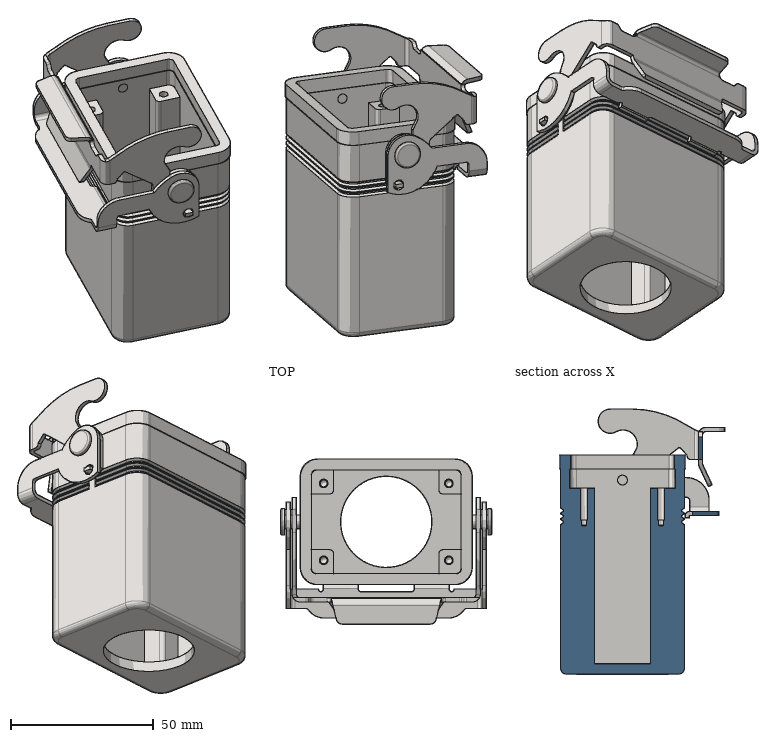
import cadquery as cq
import math

HOUSING_X = 60.2
HOUSING_Y = 43.5
CORNER_RADIUS = 6.0
RIM_TOP = 76.9
RIM_HEIGHT = 5.0
RIM_X = 60.4
RIM_Y = 44.1
BOTTOM_FILLET = 2.0

MOUTH_X = 52.45
MOUTH_Y = 36.3
MOUTH_CORNER_RADIUS = 1.9
CHAMBER_CORNER_RADIUS = 2.2
CAVITY_RELIEF = 0.3
CHAMBER_X = MOUTH_X + 2 * CAVITY_RELIEF
CHAMBER_Y = MOUTH_Y + 2 * CAVITY_RELIEF
FLOOR_THICKNESS = 3.7
CABLE_HOLE_DIAMETER = 31.9

GROOVE_TOP = 58.2
GROOVE_COUNT = 3
GROOVE_MOUTH = 1.7
GROOVE_LAND = 0.33
GROOVE_PITCH = GROOVE_MOUTH + GROOVE_LAND
GROOVE_ROOT = 0.5
GROOVE_DEPTH = 0.9
GROOVE_BRIDGE_WIDTH = 2.8

BOSS_TOP = 65.3
BOSS_INNER_X = 18.4
BOSS_INNER_Y = 9.8
BOSS_WALL_OVERLAP = 0.9
BOSS_EDGE_RADIUS = 1.5
SCREW_X = 21.95
SCREW_Y = 13.5
SCREW_DIAMETER = 3.0
SCREW_DEPTH = 11.2
DRILL_DIAMETER = 2.4
DRILL_DEPTH = 13.0
DRILL_POINT_HEIGHT = 0.7

SHEET = 1.5

PIVOT_Z = 68.1
PIN_STEM_DIAMETER = 3.4
PIN_DIAMETER = 4.9
PIN_HEAD_DIAMETER = 9.4
PIN_HEAD_THICKNESS = 1.4
PIN_HEAD_FILLET = 0.65
LATCH_HALF_WIDTH = 37.0

HOOK_OUTER_X = 33.0
HOOK_TOP = 93.0
HOOK_BEND_RADIUS = 2.8
HOOK_FRONT_Y = -28.1
HOOK_WEB_TOP = 85.2
HOOK_WEB_BOTTOM = 75.2
NOSE_Y = 4.3
NOSE_RADIUS = 4.3
THROAT_Y = -0.2
THROAT_Z = 80.6
THROAT_END_ANGLE = 195
HOOK_CREST_START = (-3.8, HOOK_TOP)
HOOK_CREST_MIDDLE = (-13.5, 91.5)
HOOK_CREST_END = (-22.4, 87.4)
HOOK_SHOULDER = (-25.4, 85.7)
HOOK_CHIN_FRONT = (-23.8, HOOK_WEB_BOTTOM)
HOOK_CHIN_MIDDLE = (-23.0, 75.7)
HOOK_CHIN_BACK = (-22.6, 76.8)
HOOK_NOTCH_PEAK = (-20.0, 79.6)
HOOK_HEEL_TOP = (-10.1, 71.9)
HOOK_HEEL_MIDDLE = (-9.6, 71.2)
HOOK_HEEL_SIDE_Z = 70.4
HOOK_NOTCH_FILLET = 0.5
HOOK_NECK_Y = -3.2
HOOK_NECK_Z = 75.9
HOOK_HUB_RADIUS = 6.5
HOOK_SKIRT_Y = 1.1
HOOK_SKIRT_Z = 66.3
HOOK_SKIRT_RADIUS = 10.5

GRIP_TOP = 86.6
GRIP_FRONT_Y = -35.9
GRIP_BEND_RADIUS = 2.7
GRIP_ROOT_HALF = 19.3
GRIP_TIP_HALF = 17.1
GRIP_CORNER_RADIUS = 2.2

WEB_NOTCH_Z = 83.2
WEB_NOTCH_OUTER = 27.6
WEB_NOTCH_INNER = 19.3
WEB_NOTCH_SLOPE = 1.6
WEB_NOTCH_OUTER_FILLET = 0.9
WEB_NOTCH_INNER_FILLET = 1.5

APRON_ANGLE = 25.0
APRON_BEND_Z = 73.7
APRON_LENGTH = 8.0
APRON_BEND_RADIUS = 1.9
APRON_TOP_HALF = 20.6
APRON_BOTTOM_HALF = 17.7
APRON_CORNER_RADIUS = 1.7

BAIL_OUTER_X = 35.1
BAIL_BEND_RADIUS = 3.1
BAIL_BOTTOM = 55.6
BAIL_HUB_RADIUS = 7.0
BAIL_HUB_END_ANGLE = 118
BAIL_SHOULDER_MIDDLE = (-6.3, 72.4)
BAIL_SHOULDER_Y = -9.7
BAIL_FOOT_Y = 1.1
BAIL_FOOT_Z = 66.8
BAIL_FOOT_RADIUS = 13.5
BAIL_ARM_TOP = 69.0
BAIL_ARM_BOTTOM = 62.0
BAIL_BACK_Y = -23.5
BAIL_FRONT_Y = -30.4
BAIL_ELBOW_RADIUS = 8.1
BAIL_INNER_ELBOW_RADIUS = 1.2
BAIL_BULGE_Y = -33.8
BAIL_BULGE_HALF = 27.6
BAIL_BULGE_RADIUS = 6.8
BAIL_BULGE_FILLET = 0.9
BAIL_NOTCH_HALF = 9.8
BAIL_NOTCH_DEPTH = 0.9
BAIL_NOTCH_RADIUS = 0.8
RELIEF_WIDTH = 1.6
LIP_OUTER_HALF = 22.1
LIP_BACK_Y = -21.95
LIP_BOTTOM = 54.9
LIP_ROOT_OVERLAP = 0.4

STOP_Y = 3.0
STOP_Z = 56.9
STOP_LENGTH = 2.8
STOP_HEIGHT = 1.4
STOP_OUTER_X = 36.1
STOP_HOLE_DIAMETER = 3.6


def rounded_block(size_x, size_y, radius, bottom, top):
    """Upright block, centred on Z, with rounded vertical edges."""
    block = cq.Workplane("XY").workplane(offset=bottom).rect(size_x, size_y)
    return block.extrude(top - bottom).edges("|Z").fillet(radius)


def plate_across(profile, inner_x, outer_x):
    """Extrude a closed YZ profile from inner_x to outer_x."""
    return profile.extrude(outer_x - inner_x).translate((inner_x, 0, 0))


def both_sides(half):
    """Join a feature on the +X side with its mirror image."""
    return half.union(half.mirror("YZ"))


def x_cylinder(diameter, start_x, end_x, y, z):
    """Cylinder lying along X."""
    return cq.Workplane("YZ", origin=(start_x, y, z)).circle(diameter / 2).extrude(end_x - start_x)


def arc_point(centre_y, centre_z, radius, degrees):
    """Point on a circle in the YZ plane, the angle counted from +Y towards +Z."""
    angle = math.radians(degrees)
    return (centre_y + radius * math.cos(angle), centre_z + radius * math.sin(angle))


def fillet_near(body, points, radius):
    """Round the edge of the body whose middle is nearest to each point."""
    for point in points:
        body = body.edges(cq.NearestToPointSelector(point)).fillet(radius)
    return body


def groove_ring(top):
    """Ring of trapezoidal section that cuts one groove around the housing."""
    bottom = top - GROOVE_MOUTH
    slope_height = (GROOVE_MOUTH - GROOVE_ROOT) / 2
    slope_angle = math.degrees(math.atan(GROOVE_DEPTH / slope_height))
    outline = cq.Sketch().rect(HOUSING_X, HOUSING_Y).vertices().fillet(CORNER_RADIUS)
    lower_flank = cq.Workplane("XY", origin=(0, 0, bottom)).placeSketch(outline)
    lower_flank = lower_flank.extrude(slope_height, taper=slope_angle)
    upper_flank = lower_flank.mirror("XY", (0, 0, (top + bottom) / 2))
    root = rounded_block(
        HOUSING_X - 2 * GROOVE_DEPTH,
        HOUSING_Y - 2 * GROOVE_DEPTH,
        CORNER_RADIUS - GROOVE_DEPTH,
        bottom,
        top,
    )
    ring = cq.Workplane("XY", origin=(0, 0, bottom)).rect(2 * HOUSING_X, 2 * HOUSING_Y).extrude(GROOVE_MOUTH)
    return ring.cut(root).cut(lower_flank).cut(upper_flank)


def groove_bridges():
    """Flush upright strips that cross the grooves below the pivots."""
    height = (GROOVE_COUNT - 1) * GROOVE_PITCH + GROOVE_MOUTH
    strip = cq.Workplane("XY").box(GROOVE_DEPTH, GROOVE_BRIDGE_WIDTH, height)
    strip_x = (HOUSING_X - GROOVE_DEPTH) / 2
    return both_sides(strip.translate((strip_x, 0, GROOVE_TOP - height / 2)))


def make_cavity(body_top):
    """Inner space: a mouth inside the rim and a slightly wider chamber down to the floor."""
    mouth = rounded_block(MOUTH_X, MOUTH_Y, MOUTH_CORNER_RADIUS, body_top, RIM_TOP)
    chamber = rounded_block(CHAMBER_X, CHAMBER_Y, CHAMBER_CORNER_RADIUS, FLOOR_THICKNESS, body_top)
    return mouth.union(chamber)


def make_boss():
    """Screw boss that fills one corner of the cavity, with a blind screw hole."""
    size_x = CHAMBER_X / 2 + BOSS_WALL_OVERLAP - BOSS_INNER_X
    size_y = CHAMBER_Y / 2 + BOSS_WALL_OVERLAP - BOSS_INNER_Y
    boss = cq.Workplane("XY").box(size_x, size_y, BOSS_TOP, centered=False)
    boss = boss.edges("|Z and <X and <Y").fillet(BOSS_EDGE_RADIUS)
    boss = boss.translate((BOSS_INNER_X, BOSS_INNER_Y, 0))
    thread_bottom = BOSS_TOP - SCREW_DEPTH
    drill_bottom = BOSS_TOP - DRILL_DEPTH
    hole_profile = (
        cq.Workplane("XZ")
        .moveTo(0, BOSS_TOP)
        .lineTo(SCREW_DIAMETER / 2, BOSS_TOP)
        .lineTo(SCREW_DIAMETER / 2, thread_bottom)
        .lineTo(DRILL_DIAMETER / 2, thread_bottom)
        .lineTo(DRILL_DIAMETER / 2, drill_bottom)
        .lineTo(0, drill_bottom - DRILL_POINT_HEIGHT)
        .close()
    )
    hole = hole_profile.revolve(360, (0, 0, 0), (0, 1, 0))
    return boss.cut(hole.translate((SCREW_X, SCREW_Y, 0)))


def make_housing():
    body_top = RIM_TOP - RIM_HEIGHT
    shell = rounded_block(HOUSING_X, HOUSING_Y, CORNER_RADIUS, 0, body_top)
    shell = shell.faces("<Z").edges().fillet(BOTTOM_FILLET)
    shell = shell.union(rounded_block(RIM_X, RIM_Y, CORNER_RADIUS, body_top, RIM_TOP))
    for index in range(GROOVE_COUNT):
        shell = shell.cut(groove_ring(GROOVE_TOP - index * GROOVE_PITCH))
    shell = shell.union(groove_bridges())
    shell = shell.cut(make_cavity(body_top))

    bosses = both_sides(make_boss())
    bosses = bosses.union(bosses.mirror("XZ"))
    bottom_clearance = cq.Workplane("XY").rect(HOUSING_X, HOUSING_Y).extrude(FLOOR_THICKNESS / 2)
    shell = shell.union(bosses.cut(bottom_clearance))

    cable_hole = cq.Workplane("XY").circle(CABLE_HOLE_DIAMETER / 2).extrude(FLOOR_THICKNESS)
    pin_holes = both_sides(x_cylinder(PIN_STEM_DIAMETER, CHAMBER_X / 2, HOUSING_X / 2, 0, PIVOT_Z))
    return shell.cut(cable_hole).cut(pin_holes)


def hook_side_profile():
    """Closed YZ outline of the hook lever, from its nose to its front web."""
    nose_z = HOOK_TOP - NOSE_RADIUS
    throat_radius = math.hypot(NOSE_Y - THROAT_Y, nose_z - THROAT_Z) - NOSE_RADIUS
    throat_angle = math.degrees(math.atan2(nose_z - THROAT_Z, NOSE_Y - THROAT_Y))
    blend_angle = throat_angle - 180
    nose_mid = arc_point(NOSE_Y, nose_z, NOSE_RADIUS, (90 + blend_angle) / 2)
    nose_end = arc_point(NOSE_Y, nose_z, NOSE_RADIUS, blend_angle)
    throat_mid = arc_point(THROAT_Y, THROAT_Z, throat_radius, (throat_angle + THROAT_END_ANGLE) / 2)
    throat_end = arc_point(THROAT_Y, THROAT_Z, throat_radius, THROAT_END_ANGLE)
    hub_drop = math.sqrt(HOOK_HUB_RADIUS**2 - HOOK_NECK_Y**2)
    hub_mid = arc_point(0, PIVOT_Z, HOOK_HUB_RADIUS, 60)
    skirt_back_z = HOOK_SKIRT_Z - math.sqrt(HOOK_SKIRT_RADIUS**2 - (HOOK_HUB_RADIUS - HOOK_SKIRT_Y) ** 2)
    skirt_mid = arc_point(HOOK_SKIRT_Y, HOOK_SKIRT_Z, HOOK_SKIRT_RADIUS, 240)
    heel_y = HOOK_SKIRT_Y - HOOK_SKIRT_RADIUS
    return (
        cq.Workplane("YZ")
        .moveTo(*HOOK_CREST_START)
        .threePointArc(HOOK_CREST_MIDDLE, HOOK_CREST_END)
        .lineTo(*HOOK_SHOULDER)
        .lineTo(HOOK_FRONT_Y + SHEET, HOOK_WEB_TOP)
        .lineTo(HOOK_FRONT_Y, HOOK_WEB_TOP)
        .lineTo(HOOK_FRONT_Y, HOOK_WEB_BOTTOM)
        .lineTo(*HOOK_CHIN_FRONT)
        .threePointArc(HOOK_CHIN_MIDDLE, HOOK_CHIN_BACK)
        .lineTo(*HOOK_NOTCH_PEAK)
        .lineTo(*HOOK_HEEL_TOP)
        .threePointArc(HOOK_HEEL_MIDDLE, (heel_y, HOOK_HEEL_SIDE_Z))
        .lineTo(heel_y, HOOK_SKIRT_Z)
        .threePointArc(skirt_mid, (HOOK_HUB_RADIUS, skirt_back_z))
        .lineTo(HOOK_HUB_RADIUS, PIVOT_Z)
        .threePointArc(hub_mid, (HOOK_NECK_Y, PIVOT_Z + hub_drop))
        .lineTo(HOOK_NECK_Y, HOOK_NECK_Z)
        .lineTo(*throat_end)
        .threePointArc(throat_mid, nose_end)
        .threePointArc(nose_mid, (NOSE_Y, HOOK_TOP))
        .close()
    )


def hook_channel():
    """Upright U-shaped sheet: two side plates joined by the front web."""
    depth = -2 * HOOK_FRONT_Y
    outer = cq.Workplane("XY").box(2 * HOOK_OUTER_X, depth, HOOK_TOP, centered=(True, False, False))
    outer = outer.edges("|Z and <Y").fillet(HOOK_BEND_RADIUS)
    inner = cq.Workplane("XY").box(2 * (HOOK_OUTER_X - SHEET), depth, HOOK_TOP, centered=(True, False, False))
    inner = inner.edges("|Z and <Y").fillet(HOOK_BEND_RADIUS - SHEET)
    return outer.cut(inner.translate((0, SHEET, 0))).translate((0, HOOK_FRONT_Y, 0))


def web_notch():
    """Shallow notch with sloping ends in the top edge of the hook web."""
    top = HOOK_WEB_TOP + WEB_NOTCH_INNER_FILLET
    slope_end = WEB_NOTCH_OUTER - WEB_NOTCH_SLOPE
    profile = (
        cq.Workplane("XZ")
        .moveTo(WEB_NOTCH_OUTER, top)
        .lineTo(WEB_NOTCH_OUTER, HOOK_WEB_TOP)
        .lineTo(slope_end, WEB_NOTCH_Z)
        .lineTo(WEB_NOTCH_INNER, WEB_NOTCH_Z)
        .lineTo(WEB_NOTCH_INNER, top)
        .close()
    )
    notch = profile.extrude(2 * SHEET, both=True).translate((0, HOOK_FRONT_Y, 0))
    notch = fillet_near(notch, [(slope_end, HOOK_FRONT_Y, WEB_NOTCH_Z)], WEB_NOTCH_OUTER_FILLET)
    notch = fillet_near(notch, [(WEB_NOTCH_INNER, HOOK_FRONT_Y, WEB_NOTCH_Z)], WEB_NOTCH_INNER_FILLET)
    return both_sides(notch)


def make_grip():
    """Flap bent forward from the top of the hook web, tapering to rounded corners."""
    inner_y = HOOK_FRONT_Y + SHEET
    bend_y = inner_y - GRIP_BEND_RADIUS
    bend_z = GRIP_TOP - GRIP_BEND_RADIUS
    outer_mid = arc_point(bend_y, bend_z, GRIP_BEND_RADIUS, 45)
    inner_mid = arc_point(bend_y, bend_z, GRIP_BEND_RADIUS - SHEET, 45)
    strip = (
        cq.Workplane("YZ")
        .moveTo(inner_y, bend_z)
        .threePointArc(outer_mid, (bend_y, GRIP_TOP))
        .lineTo(GRIP_FRONT_Y, GRIP_TOP)
        .lineTo(GRIP_FRONT_Y, GRIP_TOP - SHEET)
        .lineTo(bend_y, GRIP_TOP - SHEET)
        .threePointArc(inner_mid, (HOOK_FRONT_Y, bend_z))
        .close()
        .extrude(GRIP_ROOT_HALF, both=True)
    )
    outline = (
        cq.Workplane("XY")
        .moveTo(-GRIP_ROOT_HALF, inner_y)
        .lineTo(-GRIP_TIP_HALF, GRIP_FRONT_Y)
        .lineTo(GRIP_TIP_HALF, GRIP_FRONT_Y)
        .lineTo(GRIP_ROOT_HALF, inner_y)
        .close()
        .extrude(HOOK_TOP)
        .edges("|Z and <Y")
        .fillet(GRIP_CORNER_RADIUS)
    )
    return strip.intersect(outline)


def make_apron():
    """Flap that hangs from the hook web and slants outward."""
    angle = math.radians(APRON_ANGLE)
    reach_y = APRON_LENGTH * math.sin(angle)
    drop = APRON_LENGTH * math.cos(angle)
    inner_y = HOOK_FRONT_Y + SHEET
    inner_bend_z = APRON_BEND_Z - SHEET * math.tan(angle / 2)
    tip_y = HOOK_FRONT_Y - reach_y + SHEET * math.cos(angle)
    tip_z = APRON_BEND_Z - drop - SHEET * math.sin(angle)
    strip = (
        cq.Workplane("YZ")
        .moveTo(HOOK_FRONT_Y, HOOK_WEB_BOTTOM)
        .lineTo(HOOK_FRONT_Y, APRON_BEND_Z)
        .lineTo(HOOK_FRONT_Y - reach_y, APRON_BEND_Z - drop)
        .lineTo(tip_y, tip_z)
        .lineTo(inner_y, inner_bend_z)
        .lineTo(inner_y, HOOK_WEB_BOTTOM)
        .close()
        .extrude(APRON_TOP_HALF, both=True)
    )
    strip = fillet_near(strip, [(0, HOOK_FRONT_Y, APRON_BEND_Z)], APRON_BEND_RADIUS)
    strip = fillet_near(strip, [(0, inner_y, inner_bend_z)], APRON_BEND_RADIUS + SHEET)
    outline = (
        cq.Workplane("XZ")
        .moveTo(-APRON_TOP_HALF, HOOK_WEB_BOTTOM)
        .lineTo(-APRON_BOTTOM_HALF, tip_z)
        .lineTo(APRON_BOTTOM_HALF, tip_z)
        .lineTo(APRON_TOP_HALF, HOOK_WEB_BOTTOM)
        .close()
        .extrude(-2 * GRIP_FRONT_Y)
        .edges("|Y and <Z")
        .fillet(APRON_CORNER_RADIUS)
    )
    return strip.intersect(outline)


def make_hook():
    silhouette = hook_side_profile().extrude(HOOK_OUTER_X, both=True)
    silhouette = fillet_near(silhouette, [(0, *HOOK_NOTCH_PEAK)], HOOK_NOTCH_FILLET)
    hook = hook_channel().intersect(silhouette).cut(web_notch())
    web_middle_y = HOOK_FRONT_Y + SHEET / 2
    notch_tops = [(side * WEB_NOTCH_OUTER, web_middle_y, HOOK_WEB_TOP) for side in (-1, 1)]
    hook = fillet_near(hook, notch_tops, WEB_NOTCH_OUTER_FILLET)
    return hook.union(make_grip()).union(make_apron())


def bail_arm_profile():
    """Closed YZ outline of one bail side plate, down to the bend of the front plate."""
    bend_z = BAIL_BOTTOM + BAIL_BEND_RADIUS
    elbow_y = BAIL_FRONT_Y + BAIL_ELBOW_RADIUS
    elbow_z = BAIL_ARM_TOP - BAIL_ELBOW_RADIUS
    elbow_mid = arc_point(elbow_y, elbow_z, BAIL_ELBOW_RADIUS, 135)
    inner_y = BAIL_BACK_Y + BAIL_INNER_ELBOW_RADIUS
    inner_z = BAIL_ARM_BOTTOM - BAIL_INNER_ELBOW_RADIUS
    inner_mid = arc_point(inner_y, inner_z, BAIL_INNER_ELBOW_RADIUS, 135)
    foot_front_y = BAIL_FOOT_Y - math.sqrt(BAIL_FOOT_RADIUS**2 - (BAIL_FOOT_Z - BAIL_ARM_BOTTOM) ** 2)
    foot_back_z = BAIL_FOOT_Z - math.sqrt(BAIL_FOOT_RADIUS**2 - (BAIL_HUB_RADIUS - BAIL_FOOT_Y) ** 2)
    foot_mid = arc_point(BAIL_FOOT_Y, BAIL_FOOT_Z, BAIL_FOOT_RADIUS, 245)
    return (
        cq.Workplane("YZ")
        .moveTo(BAIL_HUB_RADIUS, PIVOT_Z)
        .threePointArc(
            arc_point(0, PIVOT_Z, BAIL_HUB_RADIUS, 60),
            arc_point(0, PIVOT_Z, BAIL_HUB_RADIUS, BAIL_HUB_END_ANGLE),
        )
        .threePointArc(BAIL_SHOULDER_MIDDLE, (BAIL_SHOULDER_Y, BAIL_ARM_TOP))
        .lineTo(elbow_y, BAIL_ARM_TOP)
        .threePointArc(elbow_mid, (BAIL_FRONT_Y, elbow_z))
        .lineTo(BAIL_FRONT_Y, bend_z)
        .lineTo(BAIL_BACK_Y, bend_z)
        .lineTo(BAIL_BACK_Y, inner_z)
        .threePointArc(inner_mid, (inner_y, BAIL_ARM_BOTTOM))
        .lineTo(foot_front_y, BAIL_ARM_BOTTOM)
        .threePointArc(foot_mid, (BAIL_HUB_RADIUS, foot_back_z))
        .close()
    )


def bail_bends():
    """U-shaped sheet whose floor is the front plate and whose bent ends meet the arms."""
    depth = BAIL_BACK_Y - BAIL_FRONT_Y
    inner_half = BAIL_OUTER_X - SHEET
    outer = cq.Workplane("XY").box(2 * BAIL_OUTER_X, depth, 2 * BAIL_BEND_RADIUS)
    outer = outer.edges("|Y and <Z").fillet(BAIL_BEND_RADIUS)
    inner = cq.Workplane("XY").box(2 * inner_half, depth, 2 * BAIL_BEND_RADIUS)
    inner = inner.edges("|Y and <Z").fillet(BAIL_BEND_RADIUS - SHEET)
    channel = outer.cut(inner.translate((0, 0, SHEET)))
    above = cq.Workplane("XY").box(4 * BAIL_OUTER_X, depth, BAIL_BEND_RADIUS, centered=(True, True, False))
    channel = channel.cut(above)
    middle_y = (BAIL_BACK_Y + BAIL_FRONT_Y) / 2
    return channel.translate((0, middle_y, BAIL_BOTTOM + BAIL_BEND_RADIUS))


def bail_bulge():
    """Front edge of the front plate, bulging forward with rounded ends."""
    centre_x = BAIL_BULGE_HALF - math.sqrt(
        BAIL_BULGE_RADIUS**2 - (BAIL_BULGE_RADIUS + BAIL_BULGE_Y - BAIL_FRONT_Y) ** 2
    )
    centre_y = BAIL_BULGE_Y + BAIL_BULGE_RADIUS
    arc_mid = arc_point(centre_x, centre_y, BAIL_BULGE_RADIUS, -60)
    outline = (
        cq.Workplane("XY")
        .moveTo(0, BAIL_FRONT_Y)
        .lineTo(BAIL_BULGE_HALF, BAIL_FRONT_Y)
        .threePointArc(arc_mid, (centre_x, BAIL_BULGE_Y))
        .lineTo(0, BAIL_BULGE_Y)
        .close()
    )
    return both_sides(outline.extrude(SHEET).translate((0, 0, BAIL_BOTTOM)))


def bail_notches():
    """Middle notch and two small relief slots in the back edge of the front plate."""
    middle = cq.Workplane("XY").box(2 * BAIL_NOTCH_HALF, 2 * BAIL_NOTCH_DEPTH, 2 * SHEET)
    middle = middle.edges("|Z and <Y").fillet(BAIL_NOTCH_RADIUS)
    slot_x = LIP_OUTER_HALF + RELIEF_WIDTH / 2
    relief = cq.Workplane("XY").slot2D(2 * BAIL_NOTCH_DEPTH + RELIEF_WIDTH / 2, RELIEF_WIDTH, 90)
    relief = relief.extrude(SHEET, both=True).translate((slot_x, RELIEF_WIDTH / 4, 0))
    notches = middle.union(both_sides(relief))
    return notches.translate((0, BAIL_BACK_Y, BAIL_BOTTOM + SHEET / 2))


def bail_lips():
    """Two lips bent down from the back edge of the front plate."""
    plate_top = BAIL_BOTTOM + SHEET
    bend_mid = arc_point(LIP_BACK_Y - SHEET, BAIL_BOTTOM, SHEET, 45)
    profile = (
        cq.Workplane("YZ")
        .moveTo(BAIL_BACK_Y - LIP_ROOT_OVERLAP, plate_top)
        .lineTo(LIP_BACK_Y - SHEET, plate_top)
        .threePointArc(bend_mid, (LIP_BACK_Y, BAIL_BOTTOM))
        .lineTo(LIP_BACK_Y, LIP_BOTTOM)
        .lineTo(LIP_BACK_Y - SHEET, LIP_BOTTOM)
        .lineTo(LIP_BACK_Y - SHEET, BAIL_BOTTOM)
        .lineTo(BAIL_BACK_Y - LIP_ROOT_OVERLAP, BAIL_BOTTOM)
        .close()
    )
    return both_sides(plate_across(profile, BAIL_NOTCH_HALF, LIP_OUTER_HALF))


def make_bail():
    arms = both_sides(plate_across(bail_arm_profile(), BAIL_OUTER_X - SHEET, BAIL_OUTER_X))
    stop_holes = x_cylinder(STOP_HOLE_DIAMETER, -BAIL_OUTER_X, BAIL_OUTER_X, STOP_Y, STOP_Z)
    bulge_ends = [(side * BAIL_BULGE_HALF, BAIL_FRONT_Y, BAIL_BOTTOM + SHEET / 2) for side in (-1, 1)]
    front = fillet_near(bail_bends().union(bail_bulge()), bulge_ends, BAIL_BULGE_FILLET)
    front = front.cut(bail_notches()).union(bail_lips())
    return arms.cut(stop_holes).union(front)


def make_pin():
    """Headed pivot pin with a thinner stem that ends flush with the cavity wall."""
    head_x = LATCH_HALF_WIDTH - PIN_HEAD_THICKNESS
    stem = x_cylinder(PIN_STEM_DIAMETER, CHAMBER_X / 2, HOUSING_X / 2, 0, PIVOT_Z)
    shank = x_cylinder(PIN_DIAMETER, HOUSING_X / 2, head_x, 0, PIVOT_Z)
    head = x_cylinder(PIN_HEAD_DIAMETER, head_x, LATCH_HALF_WIDTH, 0, PIVOT_Z)
    head = head.faces(">X").edges().fillet(PIN_HEAD_FILLET)
    return stem.union(shank).union(head)


def make_stop():
    """Tab on the hook lever that reaches out through the hole in the bail arm."""
    length_x = STOP_OUTER_X - HOOK_OUTER_X + SHEET / 2
    tab = cq.Workplane("XY").box(length_x, STOP_LENGTH, STOP_HEIGHT)
    return tab.translate((STOP_OUTER_X - length_x / 2, STOP_Y, STOP_Z))


def make_latch():
    latch = make_hook().union(make_bail())
    return latch.union(both_sides(make_pin())).union(both_sides(make_stop()))


housing = make_housing()
latch = make_latch()
result = cq.Compound.makeCompound([housing.val(), latch.val()])